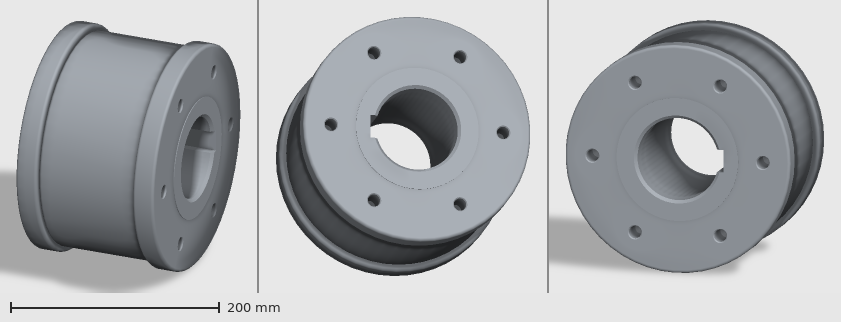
import cadquery as cq
import math

overall_width = 144.0
flange_diameter = 222.0
drum_diameter = 210.0
drum_width = 100.0

hub_diameter = 119.9
hub_step = 0.78
edge_radius = 3.0

bore_diameter = 80.0
bore_chamfer = 2.9
keyway_width = 22.2
keyway_reach = 45.5

hole_count = 6
hole_circle_diameter = 168.0
hole_diameter = 12.0
hole_chamfer = 1.0
hole_depth = 26.6
drill_point_angle = 118.0

face_x = overall_width / 2 - hub_step
flange_width = face_x - drum_width / 2


def disc(diameter, x_start, length):
    """Solid cylinder about the X axis, starting at x_start."""
    return cq.Workplane("YZ", origin=(x_start, 0, 0)).circle(diameter / 2).extrude(length)


def rounded_disc(diameter, x_start, length):
    """Disc with both rims rounded."""
    return disc(diameter, x_start, length).edges().fillet(edge_radius)


def make_body():
    """Drum between two flanges; the rounded drum ends leave a groove beside each flange."""
    body = disc(hub_diameter, -overall_width / 2, overall_width)
    body = body.union(rounded_disc(drum_diameter, -drum_width / 2, drum_width))
    for x_start in (-face_x, drum_width / 2):
        body = body.union(rounded_disc(flange_diameter, x_start, flange_width))
    return body


def make_bore():
    """Revolved bore cutter with a conical mouth at each end."""
    end_x = overall_width / 2
    radius = bore_diameter / 2
    mouth_radius = radius + bore_chamfer
    outline = [
        (-end_x, 0),
        (-end_x, mouth_radius),
        (-end_x + bore_chamfer, radius),
        (end_x - bore_chamfer, radius),
        (end_x, mouth_radius),
        (end_x, 0),
    ]
    return cq.Workplane("XY").polyline(outline).close().revolve(360, (0, 0, 0), (1, 0, 0))


def make_keyway():
    """Full-length slot from the bore axis out to keyway_reach along +Y."""
    return cq.Workplane("XY").box(
        overall_width, keyway_reach, keyway_width, centered=(True, False, True)
    )


def make_hole():
    """Chamfered blind hole with a drill point, entering the -X flange face on the axis."""
    radius = hole_diameter / 2
    point_depth = radius / math.tan(math.radians(drill_point_angle / 2))
    outline = [
        (0, 0),
        (0, radius + hole_chamfer),
        (hole_chamfer, radius),
        (hole_depth, radius),
        (hole_depth + point_depth, 0),
    ]
    hole = cq.Workplane("XY").polyline(outline).close().revolve(360, (0, 0, 0), (1, 0, 0))
    return hole.translate((-face_x, 0, 0))


def drill_flanges(body):
    """Cut the same ring of holes into both flange faces."""
    hole = make_hole().translate((0, hole_circle_diameter / 2, 0))
    for index in range(hole_count):
        turned = hole.rotate((0, 0, 0), (1, 0, 0), index * 360 / hole_count)
        body = body.cut(turned).cut(turned.mirror("YZ"))
    return body


result = drill_flanges(make_body().cut(make_bore()).cut(make_keyway()))